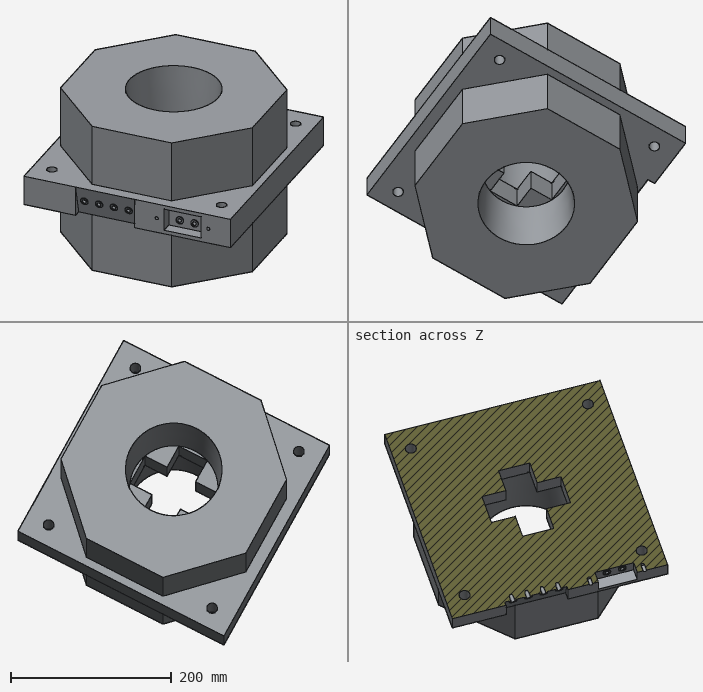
import cadquery as cq
import math

plate_width = 280.0
plate_length = 290.0
plate_thickness = 40.0

total_height = 204.0
octagon_sides = 8
octagon_flats = 260.0
housing_height = (total_height - plate_thickness) / 2

bore_diameter = 110.0
mouth_diameter = 120.0

cross_span = 102.0
cross_arm_width = 40.0

mounting_diameter = 13.0
mounting_spacing = 230.0

terminal_diameter = 10.0
terminal_height = 1.0
terminal_hole_diameter = 5.0
terminal_hole_depth = 10.0
terminal_pitch = 20.0
drill_point_angle = 118.0

notch_left = -70.0
notch_width = 80.0
notch_depth = 10.0
notch_terminals = 4

pocket_center_x = 75.0
pocket_width = 50.0
pocket_height = 30.0
pocket_depth = 15.0
pocket_terminals = 2
pocket_terminal_z = -5.0
screw_diameter = 4.0
screw_depth = 10.0
screw_spacing = 70.0

front_y = -plate_length / 2
half_plate = plate_thickness / 2


def housing():
    """Upper octagonal housing with its tapered bore, standing on the plate."""
    half_corner_angle = 360 / octagon_sides / 2
    across_corners = octagon_flats / math.cos(math.radians(half_corner_angle))
    body = (
        cq.Workplane("XY")
        .polygon(octagon_sides, across_corners)
        .extrude(housing_height)
        .rotate((0, 0, 0), (0, 0, 1), half_corner_angle)
    )
    bore = (
        cq.Workplane("XZ")
        .lineTo(bore_diameter / 2, 0)
        .lineTo(mouth_diameter / 2, housing_height)
        .lineTo(0, housing_height)
        .close()
        .revolve(360, (0, 0, 0), (0, 1, 0))
    )
    return body.cut(bore).translate((0, 0, half_plate))


def plate():
    """Plate with the cross-shaped opening and the corner holes."""
    body = cq.Workplane("XY").box(plate_width, plate_length, plate_thickness)
    body = body.cut(cq.Workplane("XY").box(cross_span, cross_arm_width, plate_thickness))
    body = body.cut(cq.Workplane("XY").box(cross_arm_width, cross_span, plate_thickness))
    corner_holes = (
        cq.Workplane("XY")
        .rect(mounting_spacing, mounting_spacing, forConstruction=True)
        .vertices()
        .circle(mounting_diameter / 2)
        .extrude(half_plate, both=True)
    )
    return body.cut(corner_holes)


def drilled_hole(diameter, depth, mouth, direction):
    """Cutter for a blind hole: a cylinder of the given depth ending in a drill point."""
    radius = diameter / 2
    point_length = radius / math.tan(math.radians(drill_point_angle / 2))
    tip_base = mouth + direction * depth
    shaft = cq.Solid.makeCylinder(radius, depth, mouth, direction)
    point = cq.Solid.makeCone(radius, 0, point_length, tip_base, direction)
    return cq.Workplane(shaft).union(cq.Workplane(point))


def add_terminal(body, foot, inward):
    """Add one terminal standing on the face at foot, with its hole drilled inward."""
    top = foot - inward * terminal_height
    boss = cq.Solid.makeCylinder(terminal_diameter / 2, terminal_height, foot, -inward)
    hole = drilled_hole(terminal_hole_diameter, terminal_hole_depth, top, inward)
    return body.union(cq.Workplane(boss)).cut(hole)


def add_notch(body):
    """Cut the sloped notch and set a row of terminals square to its slope."""
    wedge = (
        cq.Workplane("YZ", origin=(notch_left, 0, 0))
        .moveTo(front_y, half_plate)
        .lineTo(front_y + notch_depth, -half_plate)
        .lineTo(front_y, -half_plate)
        .close()
        .extrude(notch_width)
    )
    body = body.cut(wedge)
    inward = cq.Vector(0, plate_thickness, notch_depth).normalized()
    row_center = notch_left + notch_width / 2
    for index in range(notch_terminals):
        x = row_center + (index - (notch_terminals - 1) / 2) * terminal_pitch
        foot = cq.Vector(x, front_y + notch_depth / 2, 0)
        body = add_terminal(body, foot, inward)
    return body


def add_pocket(body):
    """Cut the rectangular pocket, set its terminals and drill the two screw holes beside it."""
    pocket = (
        cq.Workplane("XY")
        .box(pocket_width, pocket_depth, pocket_height)
        .translate((pocket_center_x, front_y + pocket_depth / 2, 0))
    )
    body = body.cut(pocket)
    inward = cq.Vector(0, 1, 0)
    for index in range(pocket_terminals):
        x = pocket_center_x + (index - (pocket_terminals - 1) / 2) * terminal_pitch
        foot = cq.Vector(x, front_y + pocket_depth, pocket_terminal_z)
        body = add_terminal(body, foot, inward)
    for side in (-1, 1):
        mouth = cq.Vector(pocket_center_x + side * screw_spacing / 2, front_y, 0)
        body = body.cut(drilled_hole(screw_diameter, screw_depth, mouth, inward))
    return body


upper_housing = housing()
lower_housing = upper_housing.mirror("XY")
result = add_pocket(add_notch(plate())).union(upper_housing).union(lower_housing)